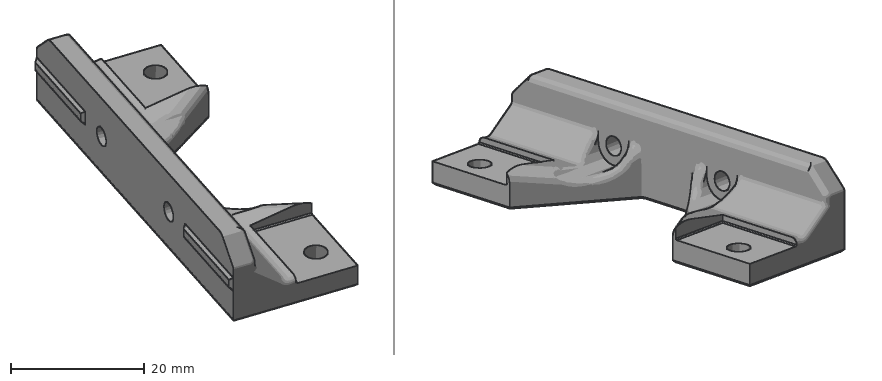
import cadquery as cq
import math

length = 65.0
depth = 21.0
height = 14.0
half_length = length / 2

plate_thickness = 4.0
corner_chamfer = 4.0
corner_top_radius = 1.5
corner_side_radius = 1.0
plate_top_radius = 1.5

ramp_top_z = 8.6
ramp_foot_y = 9.0
ramp_foot_z = 4.7
arm_rise_angle = 10.0
ramp_foot_radius = 1.5
ramp_top_radius = 1.0
side_edge_radius = 1.0

opening_half_width_rear = 16.7
opening_half_width_plate = 5.1
opening_edge_radius = 2.3

plate_hole_diameter = 3.1
plate_hole_x = 11.1
plate_hole_z = 7.0
head_clearance_width = 6.2
head_clearance_edge_radius = 1.2

pad_z = 3.8
pad_length = 15.2
pad_front_y = 10.6
pad_foot_width = 0.25
pad_foot_height = 0.2
pad_hole_diameter = 3.6
pad_hole_x = 26.5
pad_hole_y = 17.0

rail_length = 16.0
rail_width = 2.4
rail_height = 0.5

bottom_chamfer = 0.4

margin = 0.1


def edges_in_box(solid, low, high):
    """Edges of the solid whose centres lie inside the box."""
    return solid.edges(cq.selectors.BoxSelector(low, high))


def make_half_body():
    """Left half: constant side profile with a rounded ramp foot."""
    arm_rear_z = ramp_foot_z + (depth - ramp_foot_y) * math.tan(math.radians(arm_rise_angle))
    outline = [
        (0, 0),
        (depth, 0),
        (depth, arm_rear_z),
        (ramp_foot_y, ramp_foot_z),
        (plate_thickness, ramp_top_z),
        (plate_thickness, height),
        (0, height),
    ]
    body = cq.Workplane("YZ").polyline(outline).close().extrude(-half_length)
    return edges_in_box(
        body,
        (-half_length, ramp_foot_y - margin, ramp_foot_z - margin),
        (0, ramp_foot_y + margin, ramp_foot_z + margin),
    ).fillet(ramp_foot_radius)


def chamfer_plate_corner(body):
    """Cut the upper outer corner of the plate and round both new corners."""
    corner = (
        cq.Workplane("XZ")
        .moveTo(-half_length, height - corner_chamfer)
        .lineTo(-half_length + corner_chamfer, height)
        .lineTo(-half_length, height)
        .close()
        .extrude(-plate_thickness)
    )
    body = body.cut(corner)
    for x, z, radius in (
        (-half_length + corner_chamfer, height, corner_top_radius),
        (-half_length, height - corner_chamfer, corner_side_radius),
    ):
        body = edges_in_box(
            body, (x - margin, 0, z - margin), (x + margin, plate_thickness, z + margin)
        ).fillet(radius)
    return body


def round_side_edges(body):
    """Round the rear edge that runs over the arm, ramp and plate end."""
    above_pad = pad_z + margin
    rear_of_plate = plate_thickness - margin
    ahead_of_arm_end = depth - margin
    end_of_corner = -half_length + corner_chamfer + margin

    def is_side_edge(edge):
        box = edge.BoundingBox()
        outside = box.xmax < end_of_corner
        behind_plate = rear_of_plate < box.ymin < ahead_of_arm_end
        return outside and behind_plate and box.zmin > above_pad

    edges = [edge for edge in body.edges().vals() if is_side_edge(edge)]
    return body.newObject(edges).fillet(side_edge_radius)


def round_plate_top(body):
    """Round the upper rear edge of the plate."""
    start_y = plate_thickness - plate_top_radius
    start_z = height - plate_top_radius
    bend = plate_top_radius * math.sqrt(0.5)
    waste = (
        cq.Workplane("YZ")
        .moveTo(start_y, height)
        .threePointArc((start_y + bend, start_z + bend), (plate_thickness, start_z))
        .lineTo(plate_thickness, height)
        .close()
        .extrude(-half_length)
    )
    return body.cut(waste)


def cut_opening(body):
    """Cut the tapered opening beside the arm and round its upper edge."""
    outline = [
        (0, plate_thickness),
        (-opening_half_width_plate, plate_thickness),
        (-opening_half_width_rear, depth),
        (0, depth),
    ]
    body = body.cut(cq.Workplane("XY").polyline(outline).close().extrude(height))
    taper = (opening_half_width_rear - opening_half_width_plate) / (depth - plate_thickness)

    def is_upper_edge(edge):
        box = edge.BoundingBox()
        middle = edge.Center()
        wall_x = -opening_half_width_plate - taper * (middle.y - plate_thickness)
        on_wall = abs(middle.x - wall_x) < margin
        return on_wall and box.ylen > margin and box.zmin > pad_z

    edges = [edge for edge in body.edges().vals() if is_upper_edge(edge)]
    return body.newObject(edges).fillet(opening_edge_radius)


def make_trough():
    """Round-bottomed trough that clears the screw head behind the plate."""
    radius = head_clearance_width / 2
    return (
        cq.Workplane("XZ", origin=(-plate_hole_x, plate_thickness, plate_hole_z))
        .moveTo(-radius, 0)
        .threePointArc((0, -radius), (radius, 0))
        .lineTo(radius, ramp_top_z)
        .lineTo(-radius, ramp_top_z)
        .close()
        .extrude(plate_thickness - depth)
    )


def cut_head_clearance(body):
    """Cut the trough and round its rims."""
    radius = head_clearance_width / 2
    body = body.cut(make_trough())
    slant_tolerance = 0.01
    sample_positions = (0, 0.3, 0.7, 1)

    def on_trough(point):
        x = point.x + plate_hole_x
        z = min(point.z - plate_hole_z, 0)
        return abs(math.hypot(x, z) - radius) < margin

    def is_rim(edge):
        direction_y = abs(edge.tangentAt(0.5).y)
        is_slanted = slant_tolerance < direction_y < 1 - slant_tolerance
        return is_slanted and all(on_trough(edge.positionAt(t)) for t in sample_positions)

    edges = [edge for edge in body.edges().vals() if is_rim(edge)]
    return body.newObject(edges).fillet(head_clearance_edge_radius)


def round_ramp_top(body):
    """Blend the ramp into the plate, keeping the rear wall of the trough flat."""
    trough_x = -plate_hole_x - head_clearance_width / 2
    body = edges_in_box(
        body,
        (-half_length, plate_thickness - margin, ramp_top_z - margin),
        (trough_x, plate_thickness + margin, ramp_top_z + margin),
    ).fillet(ramp_top_radius)
    return body.cut(make_trough())


def cut_pad(body):
    """Recess the mounting pad, leaving a small bevel at the foot of its walls."""
    recess_depth = depth - pad_front_y
    lower = (
        cq.Workplane("XY", origin=(-half_length, depth, pad_z))
        .rect(2 * (pad_length - pad_foot_width), 2 * (recess_depth - pad_foot_width))
        .workplane(offset=pad_foot_height)
        .rect(2 * pad_length, 2 * recess_depth)
        .loft()
    )
    upper = cq.Workplane("XY").box(pad_length, recess_depth, height, centered=False)
    upper = upper.translate((-half_length, pad_front_y, pad_z + pad_foot_height))
    return body.cut(lower).cut(upper)


def drill_holes(body):
    """Drill the mounting holes in the pads and the screw holes in the plate."""
    pad_holes = (
        cq.Workplane("XY")
        .pushPoints([(-pad_hole_x, pad_hole_y), (pad_hole_x, pad_hole_y)])
        .circle(pad_hole_diameter / 2)
        .extrude(height)
    )
    plate_holes = (
        cq.Workplane("XZ")
        .pushPoints([(-plate_hole_x, plate_hole_z), (plate_hole_x, plate_hole_z)])
        .circle(plate_hole_diameter / 2)
        .extrude(-depth)
    )
    return body.cut(pad_holes).cut(plate_holes)


def add_rails(body):
    """Add a locating rail with 45 degree flanks at each end of the front face."""
    rail = (
        cq.Workplane("XZ", origin=(-half_length + rail_length / 2, 0, plate_hole_z))
        .rect(rail_length, rail_width)
        .workplane(offset=rail_height)
        .rect(rail_length - 2 * rail_height, rail_width - 2 * rail_height)
        .loft()
    )
    return body.union(rail).union(rail.mirror("YZ"))


half = make_half_body()
half = chamfer_plate_corner(half)
half = round_side_edges(half)
half = round_plate_top(half)
half = cut_opening(half)
half = cut_head_clearance(half)
half = round_ramp_top(half)
half = cut_pad(half)

bracket = half.union(half.mirror("YZ"))
bracket = bracket.faces("<Z").edges().chamfer(bottom_chamfer)
bracket = drill_holes(bracket)
bracket = add_rails(bracket)
result = bracket